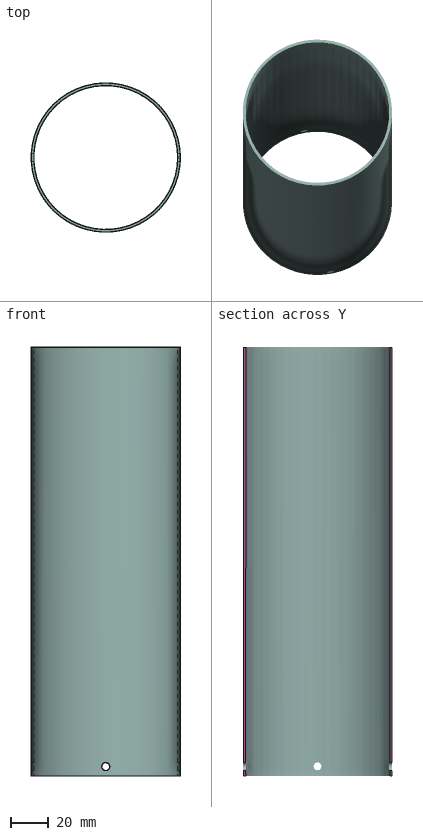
import cadquery as cq

tube_length = 227.0
outer_diameter = 79.0
wall_thickness = 1.5

hole_diameter = 4.0
hole_height = 5.0


def make_tube():
    """Open tube standing on the XY plane, centred on the Z axis."""
    inner_diameter = outer_diameter - 2 * wall_thickness
    return (
        cq.Workplane("XY")
        .circle(outer_diameter / 2)
        .circle(inner_diameter / 2)
        .extrude(tube_length)
    )


def make_cross_drill(plane):
    """Rod along the plane's normal that pierces both sides of the tube."""
    return (
        cq.Workplane(plane, origin=(0, 0, hole_height))
        .circle(hole_diameter / 2)
        .extrude(outer_diameter, both=True)
    )


result = make_tube()
for drill_plane in ("XZ", "YZ"):
    result = result.cut(make_cross_drill(drill_plane))